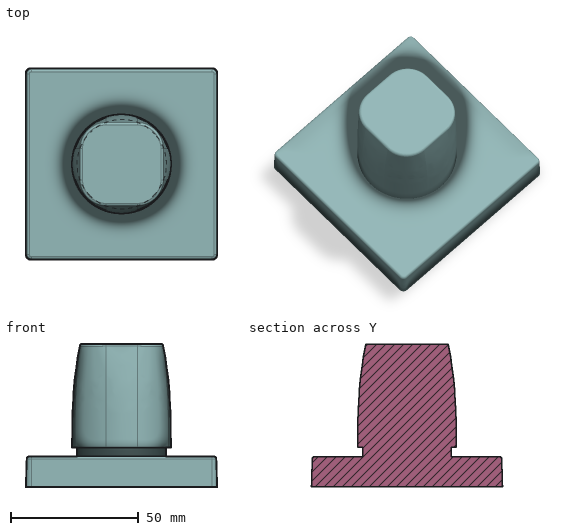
import cadquery as cq
import math

plate_size = 75.0
plate_height = 12.0
plate_corner_radius = 2.1
plate_draft_inset = 0.4
plate_edge_radius = 1.0

neck_diameter = 35.0
knob_base_z = 15.45

total_height = 56.1
knob_base_radius = 19.4
knob_top_half_width = 16.2
flat_half_length = 6.2
knob_top_edge_radius = 1.0
knob_base_edge_radius = 0.3
taper_exponent = 2.7
section_count = 4

knob_height = total_height - knob_base_z
top_corner_radius = knob_top_half_width - flat_half_length
base_flat_end = math.sqrt(knob_base_radius**2 - flat_half_length**2)
top_corner_reach = flat_half_length * math.sqrt(2) + top_corner_radius


def make_plate():
    draft_angle = math.degrees(math.atan(plate_draft_inset / plate_height))
    outline = cq.Sketch().rect(plate_size, plate_size).vertices().fillet(plate_corner_radius)
    plate = cq.Workplane("XY").placeSketch(outline).extrude(plate_height, taper=draft_angle)
    return plate.faces(">Z").edges().fillet(plate_edge_radius)


def make_neck():
    neck = cq.Workplane("XY").workplane(offset=plate_height)
    return neck.circle(neck_diameter / 2).extrude(knob_base_z - plate_height)


def knob_section(height_fraction):
    """Four sides and four corners; the sides flatten towards the top."""
    blend = height_fraction**taper_exponent

    def between(base, top):
        return base + (top - base) * blend

    z = knob_base_z + knob_height * height_fraction
    side_middle = between(knob_base_radius, knob_top_half_width)
    side_end = between(base_flat_end, knob_top_half_width)
    corner_middle = between(knob_base_radius, top_corner_reach) / math.sqrt(2)

    def turned(x, y, quarter):
        angle = quarter * math.pi / 2
        c, s = math.cos(angle), math.sin(angle)
        return cq.Vector(x * c - y * s, x * s + y * c, z)

    edges = []
    for quarter in range(4):
        side_start = turned(side_end, -flat_half_length, quarter)
        corner_start = turned(side_end, flat_half_length, quarter)
        corner_end = turned(flat_half_length, side_end, quarter)
        if height_fraction < 1:
            middle = turned(side_middle, 0, quarter)
            edges.append(cq.Edge.makeThreePointArc(side_start, middle, corner_start))
        else:
            edges.append(cq.Edge.makeLine(side_start, corner_start))
        middle = turned(corner_middle, corner_middle, quarter)
        edges.append(cq.Edge.makeThreePointArc(corner_start, middle, corner_end))
    return cq.Wire.assembleEdges(edges)


def make_knob():
    sections = [knob_section(i / (section_count - 1)) for i in range(section_count)]
    knob = cq.Workplane(cq.Solid.makeLoft(sections))
    knob = knob.faces(">Z").edges().fillet(knob_top_edge_radius)
    return knob.faces("<Z").edges().fillet(knob_base_edge_radius)


result = make_plate().union(make_neck()).union(make_knob())